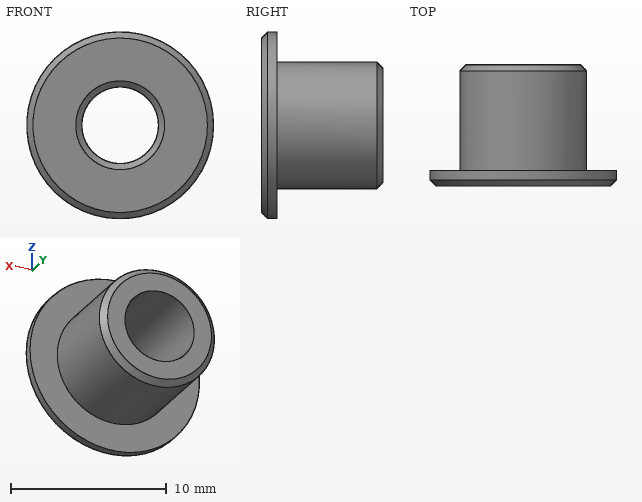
import cadquery as cq

total_length = 7.8
flange_diameter = 12.0
flange_thickness = 1.0
sleeve_diameter = 8.15
bore_diameter = 4.9
chamfer = 0.4

flange_radius = flange_diameter / 2
sleeve_radius = sleeve_diameter / 2
bore_radius = bore_diameter / 2


def bushing():
    """Revolve the half section (radius along X, length along Y) about the Y axis."""
    half_section = [
        (bore_radius + chamfer, 0),
        (flange_radius - chamfer, 0),
        (flange_radius, chamfer),
        (flange_radius, flange_thickness),
        (sleeve_radius, flange_thickness),
        (sleeve_radius, total_length - chamfer),
        (sleeve_radius - chamfer, total_length),
        (bore_radius, total_length),
        (bore_radius, chamfer),
    ]
    axis_start = (0, 0, 0)
    axis_end = (0, 1, 0)
    return cq.Workplane("XY").polyline(half_section).close().revolve(360, axis_start, axis_end)


result = bushing()